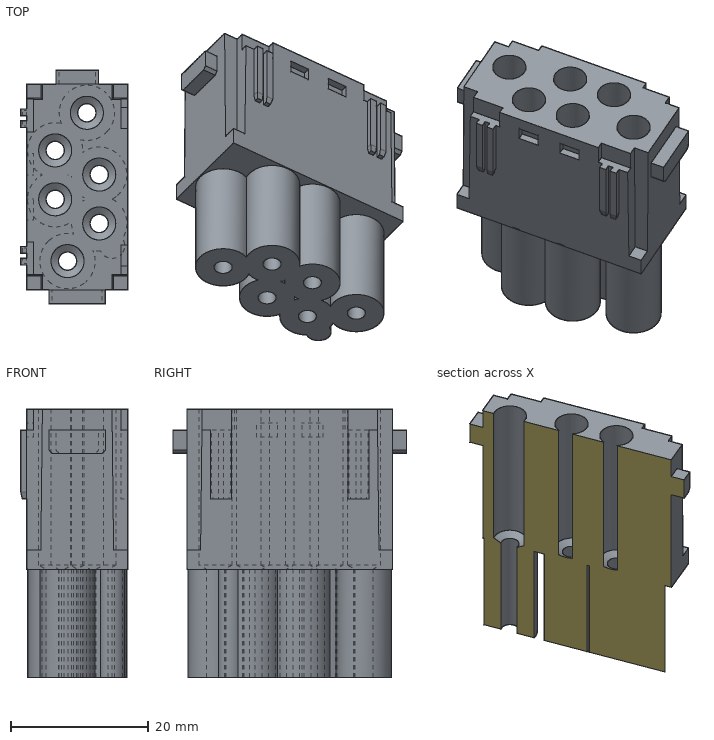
import cadquery as cq
import math

total_height = 39.1
body_x = 14.75
body_y = 29.95
body_height = 23.35
body_bottom = total_height - body_height
flange_height = 2.85

notch_x = 2.07
notch_y = 2.0
notch_growth = 0.25
notch_height = body_height - flange_height

step_drop = 3.05
step_depth = 1.0
step_reach = 6.95
step_z = total_height - step_drop

rib_height = 0.85
rib_width = 1.0
rib_pair_inset = 3.6
rib_pair_width = 2.75
rib_length = 10.0
rib_tip_length = 0.98
rib_tip_taper = 0.25
groove_clearance = 0.15

tab_depth = 2.05
tab_height = 3.4
tab_chamfer = 0.45
front_tab_width = 8.2
rear_tab_width = 6.2

window_width = 3.1
window_height = 2.05
window_depth = 1.0
window_spacing = 6.6
window_drop = 2.0

half_sleeves = [(1.4, 10.8), (-3.2, 5.3), (3.2, 1.8)]
sleeve_centres = half_sleeves + [(-x, -y) for x, y in half_sleeves]
sleeve_diameter = 8.05
cavity_diameter = 4.8
bore_diameter = 2.62
cone_angle = 59.0

post_centre = (5.1, -8.55)
post_diameter = 3.68


def box(x_range, y_range, z_range):
    """Axis-aligned box between the given pairs of limits."""
    sizes = [abs(b - a) for a, b in (x_range, y_range, z_range)]
    middles = [(a + b) / 2 for a, b in (x_range, y_range, z_range)]
    return cq.Workplane("XY").box(*sizes).translate(tuple(middles))


def make_housing():
    """Block with a drafted notch at each vertical edge, leaving a flange below."""
    housing = box((-body_x / 2, body_x / 2), (-body_y / 2, body_y / 2), (body_bottom, total_height))
    notch = (
        cq.Workplane("XY", origin=(0, 0, body_bottom + flange_height))
        .rect(2 * notch_x, 2 * notch_y)
        .workplane(offset=notch_height)
        .rect(2 * (notch_x + notch_growth), 2 * (notch_y + notch_growth))
        .loft(ruled=True)
    )
    for x in (-body_x / 2, body_x / 2):
        for y in (-body_y / 2, body_y / 2):
            housing = housing.cut(notch.translate((x, y, 0)))
    return housing


def make_steps(end):
    """Cutters for the steps of both long sides and the groove, at one end in Y."""
    edge = end * body_y / 2
    groove_outer = edge - end * (rib_pair_inset - groove_clearance)
    groove_inner = edge - end * (rib_pair_inset + rib_pair_width + groove_clearance)
    left = (-body_x / 2, -body_x / 2 + step_depth)
    right = (body_x / 2 - step_depth, body_x / 2)
    cutters = box(left, (edge, edge - end * step_reach), (step_z, total_height))
    cutters = cutters.union(box(right, (edge, groove_inner), (step_z, total_height)))
    groove = box(right, (groove_outer, groove_inner), (step_z - rib_length, step_z))
    return cutters.union(groove)


def make_rib(outer_y, inward):
    """One guide rib; its lower tip tapers on the face and on the flank at outer_y."""
    tip_z = step_z - rib_length
    shoulder_z = tip_z + rib_tip_length
    face_x = -body_x / 2 - rib_height
    flank_y = outer_y + inward * rib_width
    side_profile = (
        cq.Workplane("XZ", origin=(0, min(outer_y, flank_y), 0))
        .moveTo(-body_x / 2, step_z)
        .lineTo(face_x, step_z)
        .lineTo(face_x, shoulder_z)
        .lineTo(face_x + rib_tip_taper, tip_z)
        .lineTo(-body_x / 2, tip_z)
        .close()
        .extrude(-rib_width)
    )
    face_profile = (
        cq.Workplane("YZ", origin=(face_x, 0, 0))
        .moveTo(flank_y, step_z)
        .lineTo(outer_y, step_z)
        .lineTo(outer_y, shoulder_z)
        .lineTo(outer_y + inward * rib_tip_taper, tip_z)
        .lineTo(flank_y, tip_z)
        .close()
        .extrude(rib_height)
    )
    return side_profile.intersect(face_profile)


def make_tab(end, width):
    """Latch tab on a short side with its two lower side edges bevelled."""
    edge = end * body_y / 2
    tab = box((-width / 2, width / 2), (edge, edge + end * tab_depth), (step_z - tab_height, step_z))
    return tab.edges("|Y and <Z").chamfer(tab_chamfer)


def make_window(y_centre):
    """Cutter for one blind window in the -X side."""
    top = total_height - window_drop
    return box(
        (-body_x / 2, -body_x / 2 + window_depth),
        (y_centre - window_width / 2, y_centre + window_width / 2),
        (top - window_height, top),
    )


def make_cavities():
    """Contact cavities: wide through the housing, then a cone down to a through bore."""
    cavity_radius = cavity_diameter / 2
    bore_radius = bore_diameter / 2
    cone_height = (cavity_radius - bore_radius) / math.tan(math.radians(cone_angle))
    profile = (
        cq.Workplane("XZ")
        .lineTo(bore_radius, 0)
        .lineTo(bore_radius, body_bottom)
        .lineTo(cavity_radius, body_bottom + cone_height)
        .lineTo(cavity_radius, total_height)
        .lineTo(0, total_height)
        .close()
    )
    cavity = profile.revolve(360, (0, 0, 0), (0, 1, 0)).val()
    return cq.Workplane("XY").pushPoints(sleeve_centres).eachpoint(cavity, combine="a")


result = make_housing()

for y_end, tab_width in ((-1, front_tab_width), (1, rear_tab_width)):
    side_y = y_end * body_y / 2
    outer_rib_y = side_y - y_end * rib_pair_inset
    inner_rib_y = outer_rib_y - y_end * rib_pair_width
    result = result.cut(make_steps(y_end))
    result = result.cut(make_window(y_end * window_spacing / 2))
    result = result.union(make_rib(outer_rib_y, -y_end))
    result = result.union(make_rib(inner_rib_y, y_end))
    result = result.union(make_tab(y_end, tab_width))

sleeves = cq.Workplane("XY").pushPoints(sleeve_centres).circle(sleeve_diameter / 2).extrude(body_bottom)
post = cq.Workplane("XY").center(*post_centre).circle(post_diameter / 2).extrude(body_bottom)
result = result.union(sleeves).union(post).cut(make_cavities())